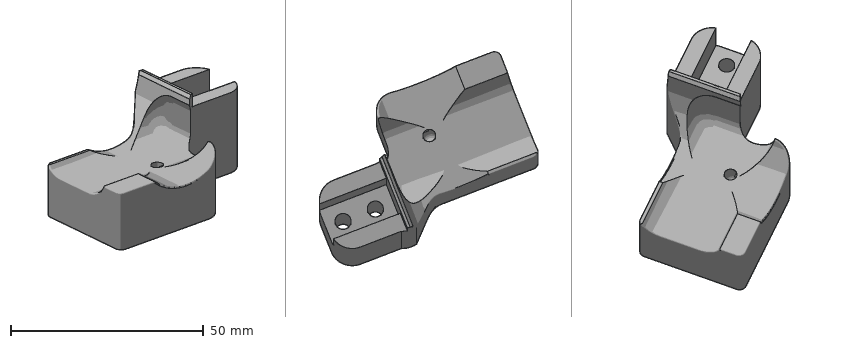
import cadquery as cq
import math

length = 59.0
right_x = 37.6
wall_top = 26.9

block_left = 7.65
block_back = 36.05
block_top = 16.3
front_corner = 1.9
back_corner = 6.0
edge_round = 0.4
left_crest = 14.6

tab_left = 0.55
tab_width = 19.1
tab_right = tab_left + tab_width
tab_middle = tab_left + tab_width / 2
tab_top = 23.05
tab_corner = 5.9
wall_back = 40.2
crest_front = 39.4
crest_bevel_width = 1.2
channel_width = 10.0
channel_floor = 14.65
screw_diameter = 4.2
screw_positions = (45.2, 54.2)

neck_radius = 5.6
flank_start_y = 27.55
flank_bend = (5.2, 32.55)
flank_end = (0.2, 37.5)
shoulder_y = 38.95

trough_radius = 6.7
trough_left = 13.75
trough_right = 24.8
trough_floor = 12.4
trough_end = 39.2
trough_end_round = 3.95

bowl_radius = 16.05
bowl_y = 22.65
bowl_floor = 12.3

pin_hole_diameter = 3.3
pin_hole_x = 23.55
pin_hole_y = 24.85
pin_hole_depth = 2.35


def corner_middle(center_x, center_y, radius, angle):
    """Point on a corner arc at an angle in degrees."""
    turn = math.radians(angle)
    return (center_x + radius * math.cos(turn), center_y + radius * math.sin(turn))


def make_body():
    neck_y = block_back + neck_radius
    neck_x = tab_right + neck_radius
    return (
        cq.Workplane("XY")
        .moveTo(block_left, 0)
        .lineTo(right_x, 0)
        .lineTo(right_x, block_back)
        .lineTo(neck_x, block_back)
        .threePointArc(corner_middle(neck_x, neck_y, neck_radius, 225), (tab_right, neck_y))
        .lineTo(tab_right, length)
        .lineTo(tab_left, length)
        .lineTo(tab_left, neck_y)
        .threePointArc((0, shoulder_y), flank_end)
        .spline([flank_bend, (block_left, flank_start_y)], tangents=[(1, -1), (0, -1)], includeCurrent=True)
        .close()
        .extrude(wall_top)
        .edges(cq.selectors.BoxSelector((0, -0.6, 0), (right_x + 0.6, 0.6, wall_top)))
        .edges("|Z")
        .fillet(front_corner)
        .edges(cq.selectors.NearestToPointSelector((right_x, block_back, wall_top / 2)))
        .fillet(back_corner)
        .edges("|Z and >Y")
        .fillet(tab_corner)
    )


def box_between(low, high):
    size = [b - a for a, b in zip(low, high)]
    return cq.Workplane("XY").box(*size, centered=False).translate(low)


def make_bowl():
    return (
        cq.Workplane("YZ")
        .center(bowl_y, bowl_floor + bowl_radius)
        .circle(bowl_radius)
        .extrude(right_x)
    )


def make_trough():
    center_x = (trough_left + trough_right) / 2
    overall_width = trough_right - trough_left + 2 * trough_radius
    return (
        cq.Workplane("XZ")
        .center(center_x, trough_floor + trough_radius)
        .slot2D(overall_width, 2 * trough_radius)
        .extrude(-trough_end)
        .faces(">Y")
        .edges()
        .fillet(trough_end_round)
    )


def make_pin_hole():
    radius = pin_hole_diameter / 2
    rounded_end = cq.Workplane("XY").sphere(radius)
    shaft = cq.Workplane("XY").circle(radius).extrude(pin_hole_depth)
    end_z = trough_floor - pin_hole_depth
    return shaft.union(rounded_end).translate((pin_hole_x, pin_hole_y, end_z))


body = make_body()

body = body.cut(box_between((0, 0, block_top), (right_x, bowl_y, wall_top)))
body = body.cut(box_between((0, 0, left_crest), (trough_left, bowl_y, wall_top)))
body = body.cut(box_between((0, wall_back, tab_top), (right_x, length, wall_top)))

body = body.cut(make_bowl()).cut(make_trough())

front_rim = cq.selectors.BoxSelector((-0.6, -0.6, trough_floor - 0.6), (right_x + 0.6, front_corner, block_top + 0.6))
left_rim = cq.selectors.BoxSelector(
    (-0.6, -0.6, bowl_floor - 0.6),
    (block_left + 0.05, shoulder_y, wall_top - 0.6),
)
right_rim = cq.selectors.BoxSelector(
    (right_x - back_corner / 2, -0.6, bowl_floor - 0.6),
    (right_x + 0.6, block_back, wall_top),
)
body = body.edges(front_rim + left_rim + right_rim).fillet(edge_round)

body = body.cut(
    cq.Workplane("YZ")
    .polyline(
        [
            (crest_front, wall_top),
            (crest_front - crest_bevel_width, wall_top),
            (crest_front - crest_bevel_width, wall_top - crest_bevel_width),
        ]
    )
    .close()
    .extrude(right_x)
)

channel_half = channel_width / 2
body = body.cut(
    box_between(
        (tab_middle - channel_half, wall_back, channel_floor),
        (tab_middle + channel_half, length, wall_top),
    )
)
screw_holes = (
    cq.Workplane("XY")
    .pushPoints([(tab_middle, y) for y in screw_positions])
    .circle(screw_diameter / 2)
    .extrude(wall_top)
)

result = body.cut(screw_holes).cut(make_pin_hole())